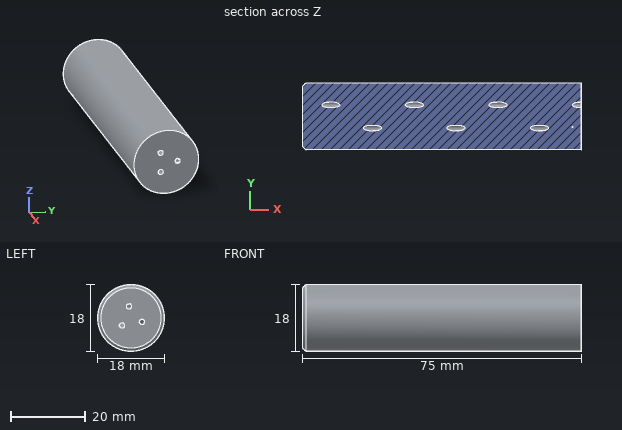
import cadquery as cq
import math

rod_length = 75.0
rod_diameter = 18.0
chamfer_size = 0.9

channel_count = 3
channel_diameter = 1.4
channel_circle_diameter = 6.3
channel_start_angle = 79.5
helix_angle = 40.0

full_turn = 360.0
helix_pitch = math.pi * rod_diameter / math.tan(math.radians(helix_angle))
channel_twist = full_turn * rod_length / helix_pitch


def make_rod():
    """Round rod with a chamfer on its -X end."""
    rod = cq.Workplane("YZ").circle(rod_diameter / 2).extrude(rod_length)
    return rod.faces("<X").chamfer(chamfer_size)


def make_channels():
    """Right-handed helical channels running the full length of the rod."""
    return (
        cq.Workplane("YZ")
        .polarArray(channel_circle_diameter / 2, channel_start_angle, full_turn, channel_count)
        .circle(channel_diameter / 2)
        .twistExtrude(rod_length, channel_twist)
    )


result = make_rod().cut(make_channels())